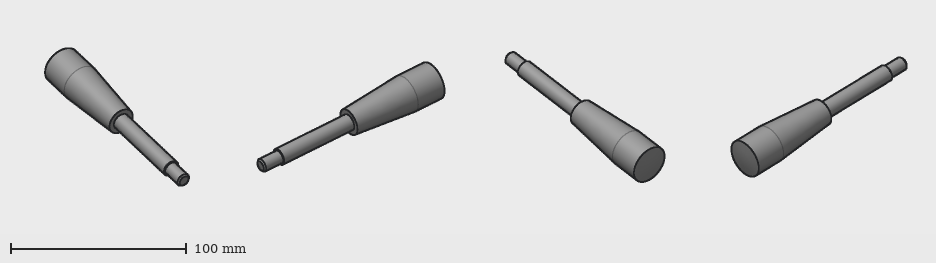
import cadquery as cq

total_length = 124.0
dome_height = 1.0
grip_straight_end = 20.1
grip_end = 60.8
rod_end = 110.9
tip_chamfer = 1.0

grip_radius = 23.0 / 2
grip_neck_radius = 16.1 / 2
rod_radius = 10.0 / 2
tip_radius = 8.0 / 2

sphere_radius = (grip_radius**2 + dome_height**2) / (2 * dome_height)
dome_mid_radius = grip_radius / 2
dome_mid_x = sphere_radius - (sphere_radius**2 - dome_mid_radius**2) ** 0.5

profile = (
    cq.Workplane("XY")
    .moveTo(0, 0)
    .threePointArc((dome_mid_x, dome_mid_radius), (dome_height, grip_radius))
    .lineTo(grip_straight_end, grip_radius)
    .lineTo(grip_end, grip_neck_radius)
    .lineTo(grip_end, rod_radius)
    .lineTo(rod_end, rod_radius)
    .lineTo(rod_end, tip_radius)
    .lineTo(total_length - tip_chamfer, tip_radius)
    .lineTo(total_length, tip_radius - tip_chamfer)
    .lineTo(total_length, 0)
    .close()
)

result = profile.revolve(360, (0, 0, 0), (1, 0, 0)).translate((-total_length / 2, 0, 0))